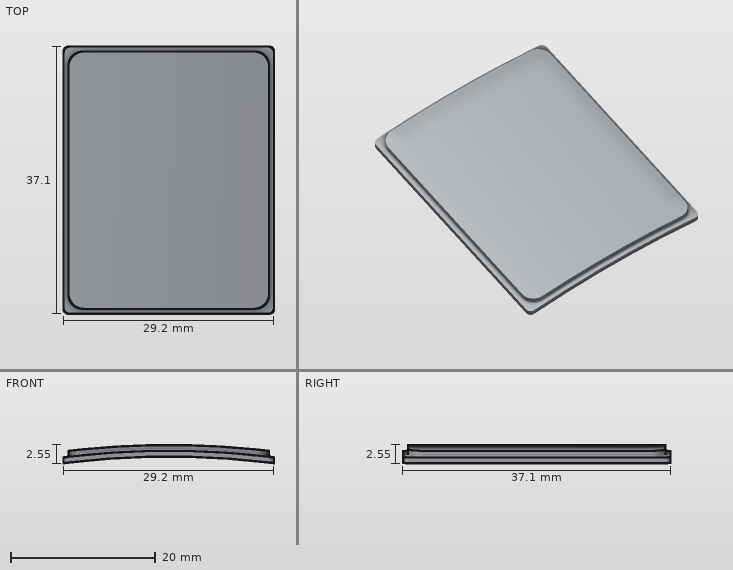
import cadquery as cq
import math

WIDTH = 29.22
LENGTH = 37.08
HEIGHT = 2.55

PLATE_THICKNESS = 0.8
PAD_THICKNESS = 0.8
PLATE_CORNER_RADIUS = 0.78
PAD_CORNER_RADIUS = 2.0
PAD_INSET = 0.7
FOOT_FILLET = 0.25

UNDERSIDE_RISE = HEIGHT - PLATE_THICKNESS - PAD_THICKNESS
UNDERSIDE_RADIUS = ((WIDTH / 2) ** 2 + UNDERSIDE_RISE**2) / (2 * UNDERSIDE_RISE)
PLATE_RADIUS = UNDERSIDE_RADIUS + PLATE_THICKNESS
PAD_RADIUS = PLATE_RADIUS + PAD_THICKNESS
AXIS_Z = UNDERSIDE_RISE - UNDERSIDE_RADIUS


def curved_sheet(inner_radius, outer_radius):
    """Full-length band between two concentric arcs, crowned at X = 0."""
    half = WIDTH / 2

    def arc_end_z(radius):
        return AXIS_Z + math.sqrt(radius**2 - half**2)

    return (
        cq.Workplane("XZ")
        .moveTo(-half, arc_end_z(inner_radius))
        .threePointArc((0, AXIS_Z + inner_radius), (half, arc_end_z(inner_radius)))
        .lineTo(half, arc_end_z(outer_radius))
        .threePointArc((0, AXIS_Z + outer_radius), (-half, arc_end_z(outer_radius)))
        .close()
        .extrude(LENGTH / 2, both=True)
    )


def rounded_block(inset, corner_radius):
    """Upright block that trims a sheet to a rounded rectangle."""
    return (
        cq.Workplane("XY")
        .rect(WIDTH - 2 * inset, LENGTH - 2 * inset)
        .extrude(HEIGHT)
        .edges("|Z")
        .fillet(corner_radius)
    )


plate = curved_sheet(UNDERSIDE_RADIUS, PLATE_RADIUS).intersect(rounded_block(0, PLATE_CORNER_RADIUS))

pad = curved_sheet(UNDERSIDE_RADIUS, PAD_RADIUS).intersect(rounded_block(PAD_INSET, PAD_CORNER_RADIUS))

body = plate.union(pad)


def on_pad_foot(edge):
    """True for edges where the pad walls meet the plate's upper face."""
    middle = edge.positionAt(0.5)
    tolerance = 0.005
    on_plate_face = abs(math.hypot(middle.x, middle.z - AXIS_Z) - PLATE_RADIUS) < tolerance
    inside_rim = (
        abs(middle.x) < WIDTH / 2 - PAD_INSET + tolerance
        and abs(middle.y) < LENGTH / 2 - PAD_INSET + tolerance
    )
    return on_plate_face and inside_rim


foot_edges = [edge for edge in body.edges().vals() if on_pad_foot(edge)]
result = body.newObject(foot_edges).fillet(FOOT_FILLET)